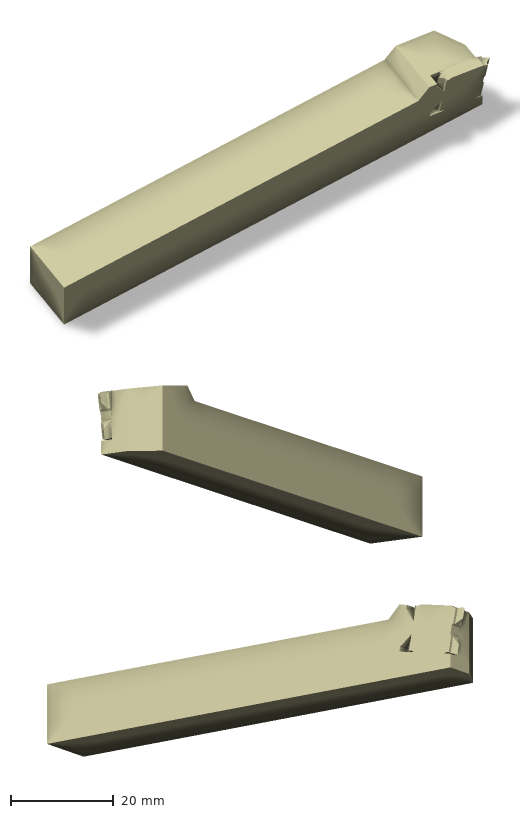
import cadquery as cq
import math

OVERALL_LENGTH = 100.0
SHANK_SIZE = 12.0
SHANK_LENGTH = 82.5

HEAD_PEAK_Y = 85.1
HEAD_HEIGHT = 14.6
HEAD_END_Y = 97.5
HEAD_SLOPE = 10.0
HEAD_CHAMFER_X = 5.9
HEAD_CHAMFER_Y = 3.4

INSERT_THICKNESS = 2.5
INSERT_TILT = 11.0
EDGE_Z = 11.9
EDGE_SPACING_LONG = 12.2
EDGE_SPACING_HIGH = 9.4
THREAD_ANGLE = 60.0
TOOTH_DEPTH = 1.2
TOOTH_HEIGHT = 2.1
RELIEF_ANGLE = 48.0
WAIST_DEPTH = 1.5

RAKE_LENGTH = 1.5
RAKE_ANGLE = 10.0
RISE_LENGTH = 0.5
RISE_ANGLE = 14.0
STEP_LENGTH = 0.3
STEP_ANGLE = 34.0

POCKET_REAR_GAP = 1.1

HALF_SHANK = SHANK_SIZE / 2
HALF_THICKNESS = INSERT_THICKNESS / 2
HALF_LONG = EDGE_SPACING_LONG / 2
HALF_HIGH = EDGE_SPACING_HIGH / 2


def tan(degrees):
    return math.tan(math.radians(degrees))


GROOVE_BOTTOM = HALF_HIGH - RAKE_LENGTH * tan(RAKE_ANGLE)
STEP_BOTTOM = GROOVE_BOTTOM + RISE_LENGTH * tan(RISE_ANGLE)
CREST = STEP_BOTTOM + STEP_LENGTH * tan(STEP_ANGLE)
HEEL = HALF_HIGH - TOOTH_HEIGHT
WAIST_Y = HALF_LONG - WAIST_DEPTH
WAIST_Z = HEEL - WAIST_DEPTH * tan(RELIEF_ANGLE)


def tilted_into_place(body):
    """Tilt a body drawn about the insert's centre and bring the top front edge to the cutting point."""
    tilt = math.radians(INSERT_TILT)
    edge_y = HALF_LONG * math.cos(tilt) + HALF_HIGH * math.sin(tilt)
    edge_z = HALF_HIGH * math.cos(tilt) - HALF_LONG * math.sin(tilt)
    centre = (HALF_SHANK - HALF_THICKNESS, OVERALL_LENGTH - edge_y, EDGE_Z - edge_z)
    return body.rotate((0, 0, 0), (1, 0, 0), -INSERT_TILT).translate(centre)


def insert_profile():
    """Side outline of the insert, from its upper front quarter mirrored both ways."""
    groove_y = HALF_LONG - RAKE_LENGTH
    step_y = groove_y - RISE_LENGTH
    quarter = [
        (step_y - STEP_LENGTH, CREST),
        (step_y, STEP_BOTTOM),
        (groove_y, GROOVE_BOTTOM),
        (HALF_LONG, HALF_HIGH),
        (HALF_LONG, HEEL),
        (WAIST_Y, WAIST_Z),
    ]
    front = quarter + [(y, -z) for y, z in reversed(quarter)]
    back = [(-y, -z) for y, z in front]
    return front + back


def tooth_plan():
    """Plan outline of the insert: a V tooth between square shoulders at both ends."""
    root_y = HALF_LONG - TOOTH_DEPTH
    root_x = TOOTH_DEPTH * tan(THREAD_ANGLE / 2)
    front = [
        (-HALF_THICKNESS, root_y),
        (-root_x, root_y),
        (0, HALF_LONG),
        (root_x, root_y),
        (HALF_THICKNESS, root_y),
    ]
    return front + [(-x, -y) for x, y in front]


def make_insert():
    blank = cq.Workplane("YZ").polyline(insert_profile()).close().extrude(HALF_THICKNESS, both=True)
    teeth = cq.Workplane("XY").polyline(tooth_plan()).close().extrude(CREST, both=True)
    return tilted_into_place(blank.intersect(teeth))


def make_pocket():
    """Space for the insert, open at the front, the top and the +X side.

    Its floor is parallel to the insert, and a nose on its back wall fits the insert's rear waist.
    """
    back = -HALF_LONG - POCKET_REAR_GAP
    top = HEAD_HEIGHT
    nose_z = HEEL + POCKET_REAR_GAP * tan(RELIEF_ANGLE)
    outline = [
        (HALF_LONG, -CREST),
        (HALF_LONG, top),
        (back, top),
        (back, nose_z),
        (-WAIST_Y, WAIST_Z),
        (-WAIST_Y, -WAIST_Z),
        (back, -nose_z),
        (back, -CREST),
    ]
    return tilted_into_place(cq.Workplane("YZ").polyline(outline).close().extrude(HALF_THICKNESS, both=True))


def make_holder():
    front_z = HEAD_HEIGHT - (HEAD_END_Y - HEAD_PEAK_Y) * tan(HEAD_SLOPE)
    side = [
        (0, 0),
        (HEAD_END_Y, 0),
        (HEAD_END_Y, front_z),
        (HEAD_PEAK_Y, HEAD_HEIGHT),
        (SHANK_LENGTH, SHANK_SIZE),
        (0, SHANK_SIZE),
    ]
    body = cq.Workplane("YZ").polyline(side).close().extrude(HALF_SHANK, both=True)
    corner = [
        (-HALF_SHANK, HEAD_END_Y),
        (-HALF_SHANK + HEAD_CHAMFER_X, HEAD_END_Y),
        (-HALF_SHANK, HEAD_END_Y - HEAD_CHAMFER_Y),
    ]
    chamfer = cq.Workplane("XY").polyline(corner).close().extrude(HEAD_HEIGHT)
    return body.cut(chamfer).cut(make_pocket())


holder = make_holder()
insert = make_insert()
result = cq.Compound.makeCompound([holder.val(), insert.val()])